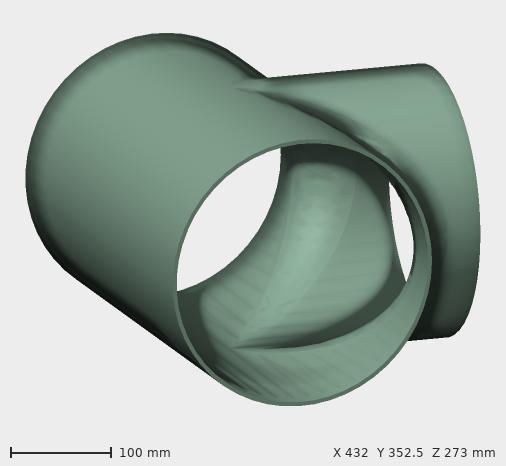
import cadquery as cq

run_length = 432.0
outer_diameter = 273.0
inner_diameter = 265.0
wall = (outer_diameter - inner_diameter) / 2
branch_reach = run_length / 2

outer_crotch_radius = 45.0
inner_crotch_radius = outer_crotch_radius + wall


def rounded_tee(diameter, crotch_radius):
    """Solid tee of run and branch cylinders of one diameter, rounded where they meet."""
    radius = diameter / 2
    run = cq.Workplane("YZ").circle(radius).extrude(run_length / 2, both=True)
    branch = cq.Workplane("XZ").circle(radius).extrude(-branch_reach)
    return run.union(branch).edges("%ELLIPSE").fillet(crotch_radius)


outer_body = rounded_tee(outer_diameter, outer_crotch_radius)
bore = rounded_tee(inner_diameter, inner_crotch_radius)

result = outer_body.cut(bore)